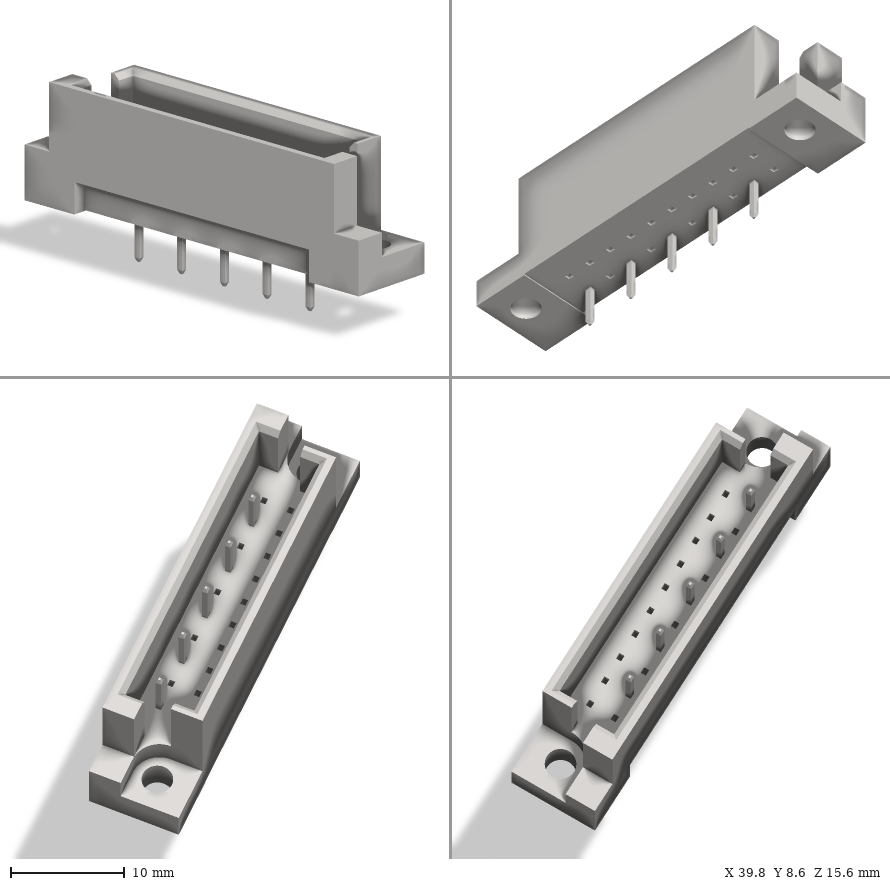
import cadquery as cq
import math


housing_length = 39.8
housing_depth = 8.6
housing_height = 11.62
overall_height = 15.6
ear_height = 5.17
shelf_height = 2.9
gap_half_width = 1.27
screw_spacing = 34.05
screw_hole_diameter = 2.8
screw_y = 1.0
front_wall_length = 33.9
back_wall_length = 29.37

end_wall_thickness = 0.95
socket_depth = 6.2
rim_chamfer = 0.5

relief_length = 27.95
relief_height = 3.02
relief_depth = 1.27
standoff = 0.1

contact_pitch = 2.55
contact_columns = 10
grid_offset = -0.1
pin_width = 0.6
pin_thickness = 0.5
pin_top = 9.9
pin_bottom = housing_height - overall_height
pin_taper = 0.4
pin_tip_ratio = 0.4

ear_recess_radius = 2 * gap_half_width
half_depth = housing_depth / 2
wall_height = housing_height - ear_height
side_wall_depth = half_depth - gap_half_width
back_socket_length = back_wall_length - 2 * end_wall_thickness
front_socket_length = back_wall_length
column_xs = [
    grid_offset + (column - (contact_columns - 1) / 2) * contact_pitch
    for column in range(contact_columns)
]
row_ys = [-contact_pitch / 2, contact_pitch / 2]
pin_xs = column_xs[1::2]
pin_y = row_ys[0]


def block(length, depth, height, x=0.0, y=0.0, z=0.0):
    """Box centred on x and y with its underside at z."""
    return cq.Workplane("XY").box(length, depth, height, centered=(True, True, False)).translate((x, y, z))


def flared_socket(length, side):
    """Half of the socket cavity, open at the middle plane, with a flared mouth.

    side is -1 for the front half and +1 for the back half.
    """
    cavity = block(length, socket_depth, wall_height, z=ear_height)
    mouth = (
        cq.Workplane("XY", origin=(0, 0, housing_height - rim_chamfer))
        .rect(length, socket_depth)
        .workplane(offset=rim_chamfer)
        .rect(length + 2 * rim_chamfer, socket_depth + 2 * rim_chamfer)
        .loft(ruled=True)
    )
    half_space = block(housing_length, half_depth, wall_height, y=side * half_depth / 2, z=ear_height)
    return cavity.union(mouth).intersect(half_space)


def shroud_wall(wall_length, socket_length, side):
    """One C-shaped wall of the shroud above the socket floor."""
    wall_y = side * (half_depth - side_wall_depth / 2)
    wall = block(wall_length, side_wall_depth, wall_height, y=wall_y, z=ear_height)
    return wall.cut(flared_socket(socket_length, side))


def ear_recess(side):
    """Lowered area of one ear behind the front wall, with a quarter-round inner corner."""
    inner_x = side * back_wall_length / 2
    end_x = side * housing_length / 2
    arc_centre_x = inner_x + side * ear_recess_radius
    arc_middle_offset = ear_recess_radius * math.sqrt(0.5)
    arc_middle = (arc_centre_x - side * arc_middle_offset, gap_half_width - arc_middle_offset)
    return (
        cq.Workplane("XY", origin=(0, 0, shelf_height))
        .moveTo(end_x, half_depth)
        .lineTo(inner_x, half_depth)
        .lineTo(inner_x, gap_half_width)
        .threePointArc(arc_middle, (arc_centre_x, -gap_half_width))
        .lineTo(end_x, -gap_half_width)
        .close()
        .extrude(ear_height - shelf_height)
    )


def make_housing():
    """Connector housing: base with ears, two shroud walls, reliefs and holes."""
    housing = block(housing_length, housing_depth, ear_height)
    for side in (-1, 1):
        housing = housing.cut(ear_recess(side))
    housing = housing.union(shroud_wall(front_wall_length, front_socket_length, -1))
    housing = housing.union(shroud_wall(back_wall_length, back_socket_length, 1))

    front_relief = block(relief_length, relief_depth, relief_height, y=(relief_depth - housing_depth) / 2)
    housing = housing.cut(front_relief)
    housing = housing.cut(block(relief_length, housing_depth, standoff))

    screw_positions = [(-screw_spacing / 2, screw_y), (screw_spacing / 2, screw_y)]
    screw_holes = cq.Workplane("XY").pushPoints(screw_positions).circle(screw_hole_diameter / 2)
    housing = housing.cut(screw_holes.extrude(ear_height))

    pin_positions = [(x, y) for x in column_xs for y in row_ys]
    pin_holes = cq.Workplane("XY").pushPoints(pin_positions).rect(pin_width, pin_thickness)
    return housing.cut(pin_holes.extrude(ear_height))



def pin_tip(x, base_z, direction):
    """Tapered end of a pin; direction is +1 for the top and -1 for the bottom."""
    return (
        cq.Workplane("XY", origin=(x, pin_y, base_z))
        .rect(pin_width, pin_thickness)
        .workplane(offset=direction * pin_taper)
        .rect(pin_width * pin_tip_ratio, pin_thickness * pin_tip_ratio)
        .loft(ruled=True)
    )


def make_pin(x):
    """Straight rectangular pin, tapered at both ends."""
    shank_bottom = pin_bottom + pin_taper
    shank_top = pin_top - pin_taper
    shank = block(pin_width, pin_thickness, shank_top - shank_bottom, x, pin_y, shank_bottom)
    return shank.union(pin_tip(x, shank_top, 1)).union(pin_tip(x, shank_bottom, -1))


housing = make_housing()
pins = [make_pin(x) for x in pin_xs]

result = cq.Compound.makeCompound([housing.val(), *[pin.val() for pin in pins]])